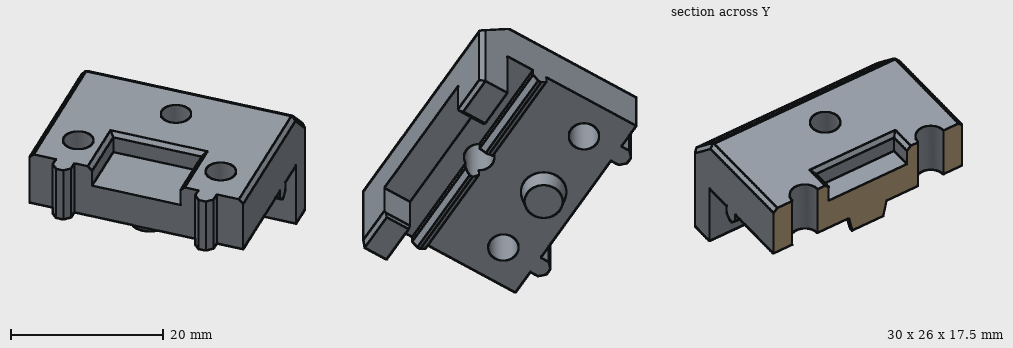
import cadquery as cq

width = 30.0
block_depth = 24.0
block_height = 8.0
total_height = 17.5
slope_size = 4.0
slope_edge_break = 0.2
edge_chamfer = 0.6

leg_thickness = 4.0
leg_gap = 18.3
leg_gap_height = 6.6
leg_corner_chamfer = 0.35

front_key_width = 2.6
front_key_length = 2.0
front_key_chamfer = 0.8

bottom_key_width = 2.05
bottom_key_length = 2.0
bottom_key_chamfer = 0.8

hole_diameter = 4.0
side_offset = 10.0
front_row_y = 5.0
rear_row_y = 15.0
boss_base_diameter = 6.0
boss_tip_diameter = 5.0
boss_height = 2.5

pocket_width = 12.4
pocket_length = 8.0
pocket_depth = 3.0

underside_z = total_height - block_height
slope_bottom_z = total_height - slope_size
slope_top_y = block_depth - slope_size
leg_front_y = block_depth - leg_thickness


def make_body():
    """Side profile of block and legs, extruded across the width, with chamfered outer edges."""
    body = (
        cq.Workplane("YZ")
        .moveTo(0, underside_z)
        .lineTo(0, total_height)
        .lineTo(slope_top_y, total_height)
        .lineTo(block_depth, slope_bottom_z)
        .lineTo(block_depth, 0)
        .lineTo(leg_front_y, 0)
        .lineTo(leg_front_y, underside_z)
        .close()
        .extrude(width / 2, both=True)
    )
    body = body.faces(">Y").edges("<Z").chamfer(edge_chamfer)

    edge_middles = (
        (slope_top_y / 2, total_height),
        (block_depth - slope_size / 2, total_height - slope_size / 2),
        (block_depth, slope_bottom_z / 2),
    )
    side_edges = []
    for side in (-1, 1):
        for y, z in edge_middles:
            nearest = cq.selectors.NearestToPointSelector((side * width / 2, y, z))
            side_edges.append(body.edges(nearest).val())
    body = body.newObject(side_edges).chamfer(edge_chamfer)

    for y, z in ((slope_top_y, total_height), (block_depth, slope_bottom_z)):
        slope_edge = cq.selectors.NearestToPointSelector((0, y, z))
        body = body.edges(slope_edge).chamfer(slope_edge_break)
    return body


def make_leg_gap():
    """Opening between the legs, flared by the chamfers at the leg feet."""
    half_gap = leg_gap / 2
    half_mouth = half_gap + leg_corner_chamfer
    return (
        cq.Workplane("XZ", origin=(0, block_depth, 0))
        .moveTo(-half_mouth, 0)
        .lineTo(-half_gap, leg_corner_chamfer)
        .lineTo(-half_gap, leg_gap_height)
        .lineTo(half_gap, leg_gap_height)
        .lineTo(half_gap, leg_corner_chamfer)
        .lineTo(half_mouth, 0)
        .close()
        .extrude(leg_thickness)
    )


def draw_key(plane, key_width, key_length, chamfer):
    """Key outline standing on the local x axis and pointing to local -y."""
    half_width = key_width / 2
    half_tip = half_width - chamfer
    shoulder = key_length - chamfer
    return (
        plane.moveTo(-half_width, 0)
        .lineTo(-half_width, -shoulder)
        .lineTo(-half_tip, -key_length)
        .lineTo(half_tip, -key_length)
        .lineTo(half_width, -shoulder)
        .lineTo(half_width, 0)
        .close()
    )


def make_front_key(x):
    plane = cq.Workplane("XY", origin=(x, 0, underside_z))
    return draw_key(plane, front_key_width, front_key_length, front_key_chamfer).extrude(block_height)


def make_bottom_key():
    plane = cq.Workplane("YZ", origin=(0, rear_row_y, underside_z))
    outline = draw_key(plane, bottom_key_width, bottom_key_length, bottom_key_chamfer)
    return outline.extrude(width / 2, both=True)


def make_boss():
    return (
        cq.Workplane("XY", origin=(0, front_row_y, underside_z))
        .circle(boss_base_diameter / 2)
        .workplane(offset=-boss_height)
        .circle(boss_tip_diameter / 2)
        .loft()
    )


def make_pocket():
    """Pocket with a chamfered rim along its two sides and its rear."""
    rim_width = pocket_width + 2 * edge_chamfer
    rim_length = pocket_length + edge_chamfer
    floor_z = total_height - pocket_depth
    rim_bottom_z = total_height - edge_chamfer
    recess = (
        cq.Workplane("XY", origin=(0, pocket_length / 2, floor_z))
        .rect(pocket_width, pocket_length)
        .extrude(pocket_depth)
    )
    rim = (
        cq.Workplane("XY", origin=(0, 0, rim_bottom_z))
        .rect(pocket_width, 2 * pocket_length)
        .workplane(offset=edge_chamfer)
        .rect(rim_width, 2 * rim_length)
        .loft(ruled=True)
    )
    return recess.union(rim)


def make_holes():
    """Through holes: two near the front and one on the centre line behind them."""
    centres = [(-side_offset, front_row_y), (side_offset, front_row_y), (0, rear_row_y)]
    return cq.Workplane("XY").pushPoints(centres).circle(hole_diameter / 2).extrude(total_height)


result = make_body().cut(make_leg_gap()).cut(make_pocket())
for key_x in (-side_offset, side_offset):
    result = result.union(make_front_key(key_x))
result = result.union(make_bottom_key()).union(make_boss()).cut(make_holes())